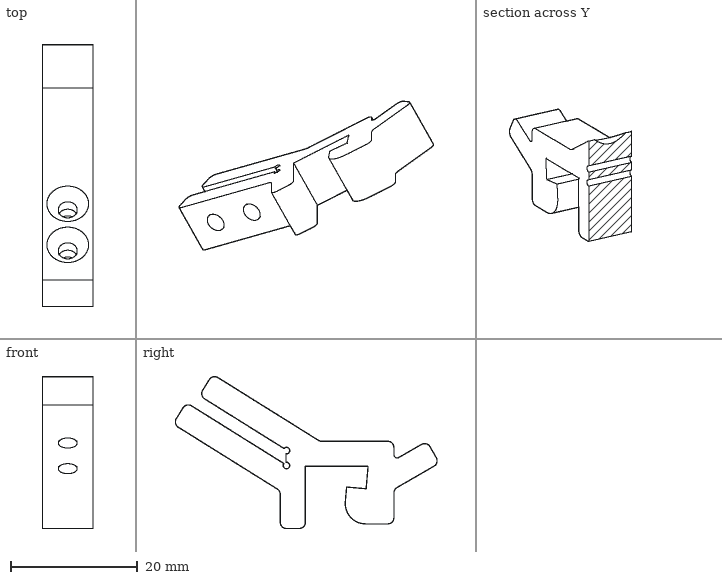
import cadquery as cq
import math

WIDTH = 8.0
BODY_LENGTH = 14.0
BODY_HEIGHT = 4.0
LEG_THICKNESS = 4.0
LEG_DEPTH = 9.83
CATCH_DEPTH = 9.1
CORNER_RADIUS = 1.0

CEILING_LENGTH = 9.88
HOOK_TILT = 5.0
HOOK_DROP = 3.5
HOOK_REACH = 3.1
HOOK_NOSE_RADIUS = 3.25

ARM_ANGLE = 32.0
ARM_THICKNESS = 4.0
ARM_GAP = 2.0
ARM_LENGTH = 20.0
ELBOW_OFFSET = 2.28

SLOT_END = 3.1
RELIEF_DIAMETER = 1.0
RELIEF_SETBACK = 0.1
RELIEF_DROP = 0.13

TAB_ANGLE = 30.0
TAB_THICKNESS = 4.0
TAB_LENGTH = 6.0
TAB_ROOT_HEIGHT = 1.0
TAB_NOTCH_RADIUS = 0.5

SCREW_DIAMETER = 3.0
COUNTERSINK_DIAMETER = 6.6
COUNTERSINK_ANGLE = 90.0
COUNTERSINK_DEPTH = (
    (COUNTERSINK_DIAMETER - SCREW_DIAMETER) / 2 / math.tan(math.radians(COUNTERSINK_ANGLE / 2)))
HOLE_COUNT = 2
FIRST_HOLE = 7.8
HOLE_PITCH = 7.65

SIDE_PLANE = cq.Plane(origin=(WIDTH / 2, 0, 0), xDir=(0, -1, 0), normal=(-1, 0, 0))
EDGE_TOLERANCE = 0.01


def polar(start, distance, degrees):
    """Point at a distance and direction from start."""
    angle = math.radians(degrees)
    return (start[0] + distance * math.cos(angle), start[1] + distance * math.sin(angle))


def prism(points):
    """Closed outline extruded over the width."""
    return cq.Workplane(SIDE_PLANE).polyline(points).close().extrude(WIDTH)


def round_edge(solid, point, radius):
    """Fillet the edge along X that passes through an outline point."""
    y, z = -point[0], point[1]
    box = cq.selectors.BoxSelector(
        (-WIDTH, y - EDGE_TOLERANCE, z - EDGE_TOLERANCE),
        (WIDTH, y + EDGE_TOLERANCE, z + EDGE_TOLERANCE))
    return solid.edges(box).fillet(radius)


arm_slope = math.tan(math.radians(ARM_ANGLE))
arm_stack = 2 * ARM_THICKNESS + ARM_GAP
arm_drop = 1 / math.cos(math.radians(ARM_ANGLE))

elbow = (-ELBOW_OFFSET, BODY_HEIGHT)


def arm_line(forward, depth):
    """Point on the line parallel to the arms at a depth below the upper arm's top."""
    return (forward, BODY_HEIGHT + (forward + ELBOW_OFFSET) * arm_slope - depth * arm_drop)


armpit = arm_line(LEG_THICKNESS, arm_stack)
gap_top = arm_line(SLOT_END, ARM_THICKNESS)
gap_bottom = arm_line(SLOT_END, ARM_THICKNESS + ARM_GAP)
upper_tip_top = polar(elbow, ARM_LENGTH, ARM_ANGLE)
upper_tip_bottom = polar(upper_tip_top, ARM_THICKNESS, ARM_ANGLE - 90)
lower_tip_bottom = polar(armpit, ARM_LENGTH, ARM_ANGLE)
lower_tip_top = polar(lower_tip_bottom, ARM_THICKNESS, ARM_ANGLE + 90)

leg_front = (LEG_THICKNESS, -LEG_DEPTH)
leg_back = (0, -LEG_DEPTH)

hook_root = (-CEILING_LENGTH, 0)
hook_corner = polar(hook_root, HOOK_DROP / math.cos(math.radians(HOOK_TILT)), HOOK_TILT - 90)
hook_tip = polar(hook_corner, HOOK_REACH, HOOK_TILT)
nose_length = (CATCH_DEPTH + hook_tip[1]) / math.cos(math.radians(HOOK_TILT))
hook_nose = polar(hook_tip, nose_length, HOOK_TILT - 90)
catch_back = (-BODY_LENGTH, -CATCH_DEPTH)

tab_direction = 180 - TAB_ANGLE
tab_notch = (-BODY_LENGTH, TAB_ROOT_HEIGHT)
tab_tip_top = polar(tab_notch, TAB_LENGTH, tab_direction)
tab_tip_bottom = polar(tab_tip_top, TAB_THICKNESS, tab_direction + 90)
tab_root = (-BODY_LENGTH, TAB_ROOT_HEIGHT - TAB_THICKNESS / math.cos(math.radians(TAB_ANGLE)))
body_top_back = (-BODY_LENGTH, BODY_HEIGHT)


def make_profile():
    """Clip body, arms, leg, hook and tab with all their rounded corners."""
    body = prism([
        elbow, upper_tip_top, upper_tip_bottom, gap_top, gap_bottom,
        lower_tip_top, lower_tip_bottom, armpit, leg_front, leg_back, (0, 0),
        hook_root, hook_corner, hook_tip, hook_nose, catch_back,
        tab_root, tab_tip_bottom, tab_tip_top, tab_notch, body_top_back,
    ])
    for corner in (
        upper_tip_top, upper_tip_bottom, lower_tip_top, lower_tip_bottom, armpit,
        leg_front, leg_back, catch_back, tab_root, tab_tip_bottom, tab_tip_top,
        body_top_back, elbow,
    ):
        body = round_edge(body, corner, CORNER_RADIUS)
    body = round_edge(body, hook_nose, HOOK_NOSE_RADIUS)
    return round_edge(body, tab_notch, TAB_NOTCH_RADIUS)


def make_reliefs():
    """Round reliefs across the width at both inner corners of the gap."""
    centres = [(p[0] - RELIEF_SETBACK, p[1] - RELIEF_DROP) for p in (gap_top, gap_bottom)]
    return cq.Workplane(SIDE_PLANE).pushPoints(centres).circle(RELIEF_DIAMETER / 2).extrude(WIDTH)


def countersunk_hole(distance):
    """Screw hole square to both arms, countersunk into the upper arm's top face."""
    top = polar(elbow, distance, ARM_ANGLE)
    down = polar((0, 0), 1, ARM_ANGLE - 90)
    centre = cq.Vector(0, -top[0], top[1])
    axis = cq.Vector(0, -down[0], down[1])
    hole = cq.Solid.makeCylinder(SCREW_DIAMETER / 2, arm_stack, centre, axis)
    countersink = cq.Solid.makeCone(
        COUNTERSINK_DIAMETER / 2, SCREW_DIAMETER / 2, COUNTERSINK_DEPTH, centre, axis)
    return hole.fuse(countersink)


result = make_profile().cut(make_reliefs())
for index in range(HOLE_COUNT):
    result = result.cut(cq.Workplane(countersunk_hole(FIRST_HOLE + index * HOLE_PITCH)))